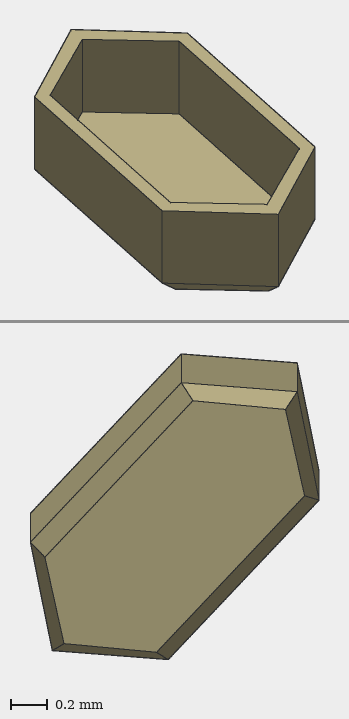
import cadquery as cq

length = 2.0
width = 1.01
height = 0.59
side_length = 1.232

taper_height = 0.092
taper_inset = 0.095
base_side_length = 1.208

pocket_length = 1.785
pocket_width = 0.852
pocket_side_length = 1.16
pocket_depth = 0.5


def hexagon(tip_to_tip, across_sides, straight):
    """Corner points of a hexagon with two sides along X and tips on the X axis."""
    tip = tip_to_tip / 2
    corner = straight / 2
    side = across_sides / 2
    return [
        (tip, 0),
        (corner, side),
        (-corner, side),
        (-tip, 0),
        (-corner, -side),
        (corner, -side),
    ]


outline = hexagon(length, width, side_length)
base_outline = hexagon(length - 2 * taper_inset, width - 2 * taper_inset, base_side_length)
pocket_outline = hexagon(pocket_length, pocket_width, pocket_side_length)

base = (
    cq.Workplane("XY")
    .polyline(base_outline).close()
    .workplane(offset=taper_height)
    .polyline(outline).close()
    .loft(ruled=True)
)

walls = (
    cq.Workplane("XY")
    .workplane(offset=taper_height)
    .polyline(outline).close()
    .extrude(height - taper_height)
)

pocket = (
    cq.Workplane("XY")
    .workplane(offset=height - pocket_depth)
    .polyline(pocket_outline).close()
    .extrude(pocket_depth)
)

result = base.union(walls).cut(pocket)